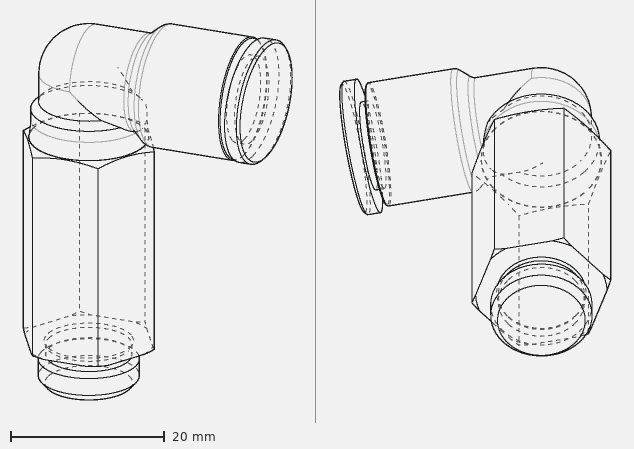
import cadquery as cq
import math


total_height = 51.95
outlet_reach = 25.0

elbow_radius = 6.55
socket_radius = 8.15
shoulder_start = 7.65
shoulder_angle = math.radians(40)
shoulder_blend = 0.75
socket_end = 21.8
socket_edge_chamfer = 0.15
release_neck_radius = 5.8
axis_height = total_height - socket_radius

flange_half_width = 9.25
flange_half_height = 8.05
flange_thickness = 2.05
flange_chamfer = 0.35
flange_start = outlet_reach - flange_thickness

spigot_radius = 6.6
spigot_chamfer_height = 1.05
spigot_chamfer_depth = 0.9
spigot_top = 3.45
groove_radius = 5.6
groove_bottom = 4.0
groove_flare_start = 5.45
groove_flare_depth = 0.2

hex_across_flats = 16.0
hex_bottom = 6.0
hex_top = 34.8
hex_top_chamfer_height = 0.55
hex_top_face_radius = 7.85
hex_bottom_chamfer_height = 0.25
hex_bottom_face_radius = 8.55
hex_corner_radius = hex_across_flats / math.sqrt(3)

collar_base_radius = 7.8
collar_radius = 7.6
collar_taper_top = 37.3
collar_top = 38.85
collar_chamfer_top = 39.85


def turned_about_z(profile):
    """Revolve (radius, height) points, closed through the axis, about Z."""
    return cq.Workplane("XZ").polyline(profile).close().revolve(360, (0, 0), (0, 1))


def make_spigot():
    return turned_about_z([
        (0, 0),
        (spigot_radius - spigot_chamfer_depth, 0),
        (spigot_radius, spigot_chamfer_height),
        (spigot_radius, spigot_top),
        (groove_radius, groove_bottom),
        (groove_radius, groove_flare_start),
        (groove_radius + groove_flare_depth, hex_bottom),
        (0, hex_bottom),
    ])


def make_hexagon():
    """Hexagonal bar, corners on the X axis, with turned chamfers at both ends."""
    bar = (
        cq.Workplane("XY", origin=(0, 0, hex_bottom))
        .polygon(6, 2 * hex_corner_radius)
        .extrude(hex_top - hex_bottom)
    )
    envelope = turned_about_z([
        (0, hex_bottom),
        (hex_bottom_face_radius, hex_bottom),
        (hex_corner_radius, hex_bottom + hex_bottom_chamfer_height),
        (hex_corner_radius, hex_top - hex_top_chamfer_height),
        (hex_top_face_radius, hex_top),
        (0, hex_top),
    ])
    return bar.intersect(envelope)


def make_collar():
    """Tapered collar, chamfered in to the upright leg of the elbow."""
    return turned_about_z([
        (0, hex_top),
        (collar_base_radius, hex_top),
        (collar_radius, collar_taper_top),
        (collar_radius, collar_top),
        (elbow_radius, collar_chamfer_top),
        (elbow_radius, axis_height),
        (0, axis_height),
    ])


def make_elbow_ball():
    return cq.Workplane("XY", origin=(0, 0, axis_height)).sphere(elbow_radius)


def make_outlet():
    """Horizontal leg, blended conical shoulder, socket and release neck."""
    blend_rise = shoulder_blend * math.tan(shoulder_angle / 2)
    cone_start = shoulder_start + shoulder_blend
    cone_rise = socket_radius - elbow_radius - 2 * blend_rise
    cone_end = cone_start + cone_rise / math.tan(shoulder_angle)
    shoulder_end = cone_end + shoulder_blend
    profile = (
        cq.Workplane("XZ", origin=(0, 0, axis_height))
        .lineTo(0, elbow_radius)
        .lineTo(shoulder_start, elbow_radius)
        .tangentArcPoint((cone_start, elbow_radius + blend_rise), relative=False)
        .lineTo(cone_end, socket_radius - blend_rise)
        .tangentArcPoint((shoulder_end, socket_radius), relative=False)
        .lineTo(socket_end - socket_edge_chamfer, socket_radius)
        .lineTo(socket_end, socket_radius - socket_edge_chamfer)
        .lineTo(socket_end, release_neck_radius)
        .lineTo(flange_start, release_neck_radius)
        .lineTo(flange_start, 0)
        .close()
    )
    return profile.revolve(360, (0, 0), (1, 0))


def make_flange():
    return (
        cq.Workplane("YZ", origin=(flange_start, 0, axis_height))
        .ellipse(flange_half_width, flange_half_height)
        .extrude(flange_thickness)
        .faces(">X")
        .chamfer(flange_chamfer)
    )


result = (
    make_spigot()
    .union(make_hexagon())
    .union(make_collar())
    .union(make_elbow_ball())
    .union(make_outlet())
    .union(make_flange())
)